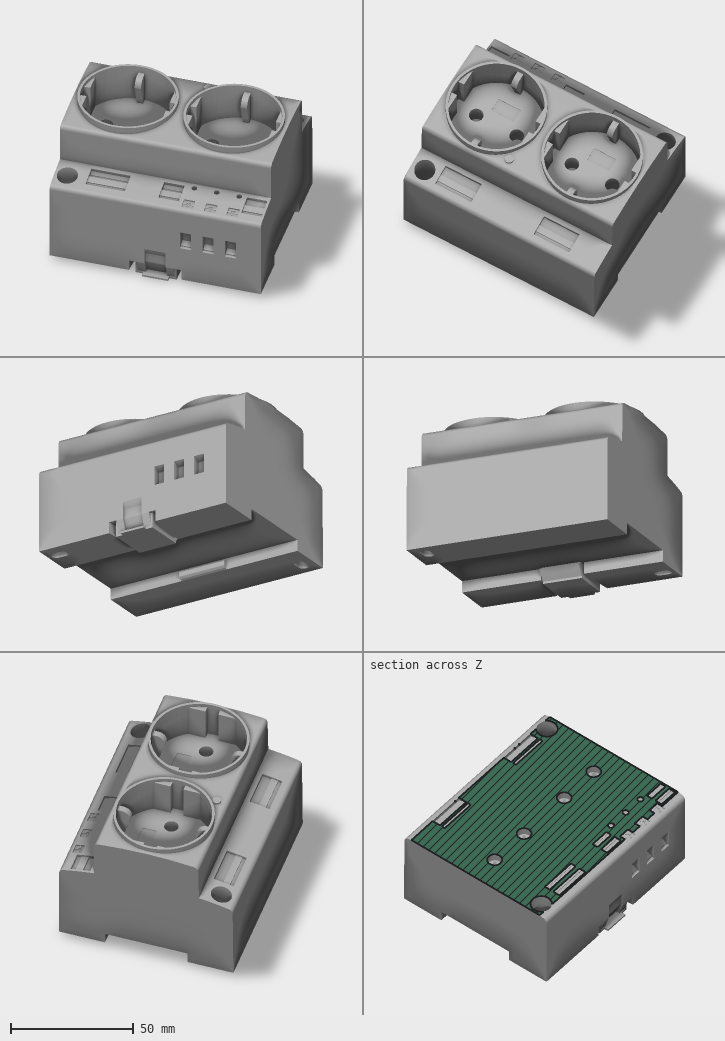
import cadquery as cq
import math


WIDTH = 90.0
DEPTH = 75.1
DRAFT_OFFSET = 0.4
SHELF_OUTER_Z = 36.1
SHELF_MIDDLE_Z = 37.7
SHELF_INNER_Z = 38.9
TOWER_FRONT_Y = 15.0
TOWER_REAR_Y = 60.2
TOWER_EDGE_Z = 56.1
TOWER_CROWN_Z = 57.4
EDGE_RADIUS = 2.1

NOTCH_FRONT_Y = 19.7
NOTCH_REAR_Y = 55.35
NOTCH_HEIGHT = 4.95
LIP_WIDTH = 21.6
LIP_REACH = 1.9
LIP_BOTTOM_Z = 0.4
LIP_TOP_Z = 4.05
LIP_CHAMFER = 0.8

CLIP_WIDTH = 17.5
CLIP_INNER_WIDTH = 15.7
CLIP_FRONT_Y = 1.4
CLIP_BOTTOM_Z = -1.7
CLIP_FLOOR_Z = -0.8
CLIP_SLOPE_DEPTH = 1.8
CLIP_HOOK_REACH = 3.6
CLIP_HOOK_Z = 3.8
CLIP_HOOK_TOP_Z = 4.1
CLIP_HOOK_NECK = 1.2
TONGUE_OVERHANG = 0.45
TONGUE_WIDTH = 11.2
CLIP_SLOT_FRONT_WIDTH = 22.4
CLIP_SLOT_REAR_WIDTH = 19.2
FINGER_WIDTH = 9.0
FINGER_TOP_Z = 12.4
FINGER_WALL_TOP_Z = 9.6
FINGER_WALL_BOTTOM_Z = 5.2
FINGER_WALL_Y = 1.1
FINGER_FLOOR_Y = 3.5

SOCKET_X = 22.6
SOCKET_Y = 37.7
RIM_RADIUS = 20.8
RIM_TOP_Z = 59.5
CUP_RADIUS = 19.7
CUP_DEPTH = 16.9
CUP_FLOOR_Z = RIM_TOP_Z - CUP_DEPTH
PIN_SPACING = 19.1
PIN_RADIUS = 3.0
PIN_DEPTH = 9.0
GUIDE_FACE_X = 16.9
GUIDE_HALF_LENGTH = 10.2
GUIDE_GAP = 5.6
GUIDE_TOP_DROP = 1.6
PLATE_LENGTH = 10.35
PLATE_WIDTH = 6.1
PLATE_Y = -7.9
PLATE_DEPTH = 0.3
CONTACT_WIDTH = 2.7
CONTACT_TOP_DROP = 3.1
CONTACT_FLAT_RADIUS = 18.0
CONTACT_NOSE_RADIUS = 14.1
CONTACT_FOOT_RADIUS = 17.1

LAMP_X = 6.6
LAMP_Y = 55.1
LAMP_RADIUS = 1.8
LAMP_TOP_Z = 57.3

FRONT_MOUNT_X = -39.5
REAR_MOUNT_X = 39.0
MOUNT_INSET = 7.2
MOUNT_RADIUS = 4.3
MOUNT_FLOOR_Z = 3.6
MOUNT_SLOT_LENGTH = 7.6
MOUNT_SLOT_WIDTH = 4.5

FRONT_STEPPED_WINDOWS = [(-22.6, 16.7), (4.4, 8.7)]
FRONT_PLAIN_WINDOW = (39.7, 8.6)
REAR_WINDOWS = [(-22.6, 16.7), (23.8, 17.1)]
FRONT_WINDOW_START = 4.5
FRONT_WINDOW_END = 13.05
FRONT_BAR_START = 6.4
FRONT_BAR_END = 9.45
FRONT_STEP_Y = 10.9
REAR_WINDOW_START = 62.4
REAR_WINDOW_END = 70.9
REAR_BAR_START = 66.2
REAR_BAR_END = 69.1
WINDOW_DEPTH = 1.3
WINDOW_INNER_DEPTH = 1.6
WINDOW_STEP_DEPTH = 1.9
WINDOW_BAR_DEPTH = 0.8

TERMINAL_X = [13.0, 22.5, 32.0]
TERMINAL_WIDTH = 4.8
TEST_HOLE_Y = 12.7
TEST_HOLE_RADIUS = 1.2
TEST_HOLE_DEPTH = 2.7
SCREW_PIT_START = 2.1
SCREW_PIT_END = 6.0
SCREW_BAR_START = 3.8
SCREW_BAR_END = 4.6
SCREW_PIT_DEPTH = 0.7
SCREW_BAR_DEPTH = 0.45
SCREW_HOLE_Y = 4.3
SCREW_HOLE_RADIUS = 1.0
SCREW_NECK_WIDTH = 1.1
SCREW_HOLE_DEPTH = 1.0
WIRE_BOTTOM_Z = 16.4
WIRE_TOP_Z = 24.7
WIRE_SILL_Y = 1.35
WIRE_SILL_STEP = 0.45
WIRE_END_Y = 3.4
WIRE_END_BOTTOM_Z = 18.0
WIRE_END_TOP_Z = 23.2

CLEARANCE = 4.5
SHELF_CLEARANCE = 0.9


def side_prism(points, width):
    """Prism with the given Y-Z outline, centred on X = 0."""
    return cq.Workplane("YZ").polyline(points).close().extrude(width / 2, both=True)


def block(x_range, y_range, z_range):
    """Axis-aligned box between the given limits."""
    sizes = [high - low for low, high in (x_range, y_range, z_range)]
    corner = (x_range[0], y_range[0], z_range[0])
    return cq.Workplane("XY").box(*sizes, centered=False).translate(corner)


def make_housing():
    tower_top_rear_y = TOWER_REAR_Y - DRAFT_OFFSET
    rear_edge_y = DEPTH - DRAFT_OFFSET
    front_mid_y = TOWER_FRONT_Y / 2
    rear_mid_y = (TOWER_REAR_Y + rear_edge_y) / 2
    crown_y = (TOWER_FRONT_Y + tower_top_rear_y) / 2
    housing = (
        cq.Workplane("YZ")
        .lineTo(0, SHELF_OUTER_Z)
        .threePointArc((front_mid_y, SHELF_MIDDLE_Z), (TOWER_FRONT_Y, SHELF_INNER_Z))
        .lineTo(TOWER_FRONT_Y, TOWER_EDGE_Z)
        .threePointArc((crown_y, TOWER_CROWN_Z), (tower_top_rear_y, TOWER_EDGE_Z))
        .lineTo(TOWER_REAR_Y, SHELF_INNER_Z)
        .threePointArc((rear_mid_y, SHELF_MIDDLE_Z), (rear_edge_y, SHELF_OUTER_Z))
        .lineTo(DEPTH, 0)
        .lineTo(NOTCH_REAR_Y, 0)
        .lineTo(NOTCH_REAR_Y, NOTCH_HEIGHT)
        .lineTo(NOTCH_FRONT_Y, NOTCH_HEIGHT)
        .lineTo(NOTCH_FRONT_Y, 0)
        .close()
        .extrude(WIDTH / 2, both=True)
    )
    rounded_edges = [
        (0, SHELF_OUTER_Z),
        (TOWER_FRONT_Y, TOWER_EDGE_Z),
        (tower_top_rear_y, TOWER_EDGE_Z),
        (rear_edge_y, SHELF_OUTER_Z),
    ]
    for y, z in rounded_edges:
        nearest_edge = cq.selectors.NearestToPointSelector((0, y, z))
        housing = housing.edges(nearest_edge).fillet(EDGE_RADIUS)
    return housing


def make_rail_lip():
    lip_y = NOTCH_REAR_Y - LIP_REACH
    return side_prism(
        [
            (NOTCH_REAR_Y, 0),
            (lip_y + LIP_CHAMFER, LIP_BOTTOM_Z),
            (lip_y, LIP_BOTTOM_Z + LIP_CHAMFER),
            (lip_y, LIP_TOP_Z - LIP_CHAMFER),
            (lip_y + LIP_CHAMFER, LIP_TOP_Z),
            (NOTCH_REAR_Y, LIP_TOP_Z),
        ],
        LIP_WIDTH,
    )


def make_clip_slot():
    """Channel for the clip, narrowing from the front face to the notch."""
    front_half = CLIP_SLOT_FRONT_WIDTH / 2
    rear_half = CLIP_SLOT_REAR_WIDTH / 2
    corners = [
        (-front_half, 0),
        (front_half, 0),
        (rear_half, NOTCH_FRONT_Y),
        (-rear_half, NOTCH_FRONT_Y),
    ]
    return (
        cq.Workplane("XY")
        .polyline(corners)
        .close()
        .extrude(NOTCH_HEIGHT)
    )


def make_clip():
    hook_y = NOTCH_FRONT_Y + CLIP_HOOK_REACH
    neck_y = NOTCH_FRONT_Y + CLIP_HOOK_NECK
    slide = side_prism(
        [
            (CLIP_FRONT_Y, CLIP_BOTTOM_Z),
            (NOTCH_FRONT_Y, CLIP_BOTTOM_Z),
            (NOTCH_FRONT_Y, CLIP_FLOOR_Z),
            (hook_y, CLIP_HOOK_Z),
            (neck_y, CLIP_HOOK_TOP_Z),
            (neck_y, NOTCH_HEIGHT),
            (CLIP_FRONT_Y, NOTCH_HEIGHT),
        ],
        CLIP_WIDTH,
    )
    sloping_front = side_prism(
        [
            (0, NOTCH_HEIGHT),
            (CLIP_SLOPE_DEPTH, CLIP_FLOOR_Z),
            (NOTCH_FRONT_Y, CLIP_FLOOR_Z),
            (NOTCH_FRONT_Y, NOTCH_HEIGHT),
        ],
        CLIP_INNER_WIDTH,
    )
    front_relief = block(
        (-CLIP_INNER_WIDTH / 2, CLIP_INNER_WIDTH / 2),
        (0, CLIP_SLOPE_DEPTH),
        (CLIP_FLOOR_Z, NOTCH_HEIGHT),
    )
    tongue = block(
        (-TONGUE_WIDTH / 2, TONGUE_WIDTH / 2),
        (-TONGUE_OVERHANG, CLIP_FRONT_Y),
        (CLIP_BOTTOM_Z, CLIP_FLOOR_Z),
    )
    return slide.cut(front_relief).union(sloping_front).union(tongue)


def make_finger_recess():
    return side_prism(
        [
            (0, FINGER_TOP_Z),
            (FINGER_WALL_Y, FINGER_WALL_TOP_Z),
            (FINGER_WALL_Y, FINGER_WALL_BOTTOM_Z),
            (FINGER_FLOOR_Y, CLIP_FLOOR_Z),
            (-CLEARANCE, CLIP_FLOOR_Z),
            (-CLEARANCE, FINGER_TOP_Z),
        ],
        FINGER_WIDTH,
    )


def make_socket_body():
    """Solid barrel of one socket, reaching from the cup floor to the rim."""
    return cq.Workplane("XY").workplane(offset=CUP_FLOOR_Z).circle(RIM_RADIUS).extrude(CUP_DEPTH)


def make_guides():
    """Four blocks beside the plug, trimmed to the round cup wall."""
    guide_top = RIM_TOP_Z - GUIDE_TOP_DROP
    guides = block(
        (-RIM_RADIUS, RIM_RADIUS),
        (-GUIDE_HALF_LENGTH, GUIDE_HALF_LENGTH),
        (CUP_FLOOR_Z, guide_top),
    )
    plug_space = block((-GUIDE_FACE_X, GUIDE_FACE_X), (-RIM_RADIUS, RIM_RADIUS), (CUP_FLOOR_Z, guide_top))
    key_space = block((-RIM_RADIUS, RIM_RADIUS), (-GUIDE_GAP / 2, GUIDE_GAP / 2), (CUP_FLOOR_Z, guide_top))
    return guides.cut(plug_space).cut(key_space).intersect(make_socket_body())


def make_contact():
    """Earth contact on the +Y side of the cup, with a rounded shoulder and a nose."""
    top_z = RIM_TOP_Z - CONTACT_TOP_DROP
    shoulder_radius = CONTACT_FLAT_RADIUS - CONTACT_NOSE_RADIUS
    wall_y = (CUP_RADIUS + RIM_RADIUS) / 2
    return (
        cq.Workplane("YZ")
        .moveTo(wall_y, CUP_FLOOR_Z)
        .lineTo(wall_y, top_z)
        .lineTo(CONTACT_FLAT_RADIUS, top_z)
        .tangentArcPoint((-shoulder_radius, -shoulder_radius))
        .lineTo(CONTACT_FOOT_RADIUS, CUP_FLOOR_Z)
        .close()
        .extrude(CONTACT_WIDTH / 2, both=True)
    )


def make_socket_cavity():
    """Everything removed from one socket: cup, pin holes and the shallow marking plate."""
    contact = make_contact()
    cup = (
        cq.Workplane("XY")
        .workplane(offset=CUP_FLOOR_Z)
        .circle(CUP_RADIUS)
        .extrude(CUP_DEPTH)
        .cut(make_guides())
        .cut(contact)
        .cut(contact.mirror("XZ"))
    )
    pins = (
        cq.Workplane("XY")
        .workplane(offset=CUP_FLOOR_Z)
        .pushPoints([(-PIN_SPACING / 2, 0), (PIN_SPACING / 2, 0)])
        .circle(PIN_RADIUS)
        .extrude(-PIN_DEPTH)
    )
    plate = (
        cq.Workplane("XY")
        .workplane(offset=CUP_FLOOR_Z)
        .center(0, PLATE_Y)
        .rect(PLATE_LENGTH, PLATE_WIDTH)
        .extrude(-PLATE_DEPTH)
    )
    return cup.union(pins).union(plate)


def make_lamp():
    return (
        cq.Workplane("XY")
        .workplane(offset=TOWER_EDGE_Z - LAMP_RADIUS)
        .center(LAMP_X, LAMP_Y)
        .circle(LAMP_RADIUS)
        .extrude(LAMP_TOP_Z - TOWER_EDGE_Z + LAMP_RADIUS)
    )


def make_mount_hole(x, y, slot_angle):
    """Deep round well ending in a slotted floor."""
    well = (
        cq.Workplane("XY")
        .workplane(offset=MOUNT_FLOOR_Z)
        .center(x, y)
        .circle(MOUNT_RADIUS)
        .extrude(SHELF_INNER_Z - MOUNT_FLOOR_Z)
    )
    slot = (
        cq.Workplane("XY")
        .center(x, y)
        .slot2D(MOUNT_SLOT_LENGTH, MOUNT_SLOT_WIDTH, slot_angle)
        .extrude(MOUNT_FLOOR_Z)
    )
    return well.union(slot)


def shelf_plane():
    """Plane lying on the front shelf; its local origin is above Y = 0."""
    rise = SHELF_INNER_Z - SHELF_OUTER_Z
    slope = math.atan2(rise, TOWER_FRONT_Y)
    middle_y = TOWER_FRONT_Y / 2
    origin_z = SHELF_MIDDLE_Z - middle_y * math.tan(slope)
    normal = (0, -math.sin(slope), math.cos(slope))
    return cq.Plane(origin=(0, 0, origin_z), xDir=(1, 0, 0), normal=normal), math.cos(slope)


SHELF_PLANE, SHELF_COSINE = shelf_plane()


def shelf_sketch(x, y, depth):
    """Workplane at a depth below the front shelf, centred over the given horizontal place."""
    return cq.Workplane(SHELF_PLANE).workplane(offset=-depth).center(x, y / SHELF_COSINE)


def front_strip(x, length, start, end, depth):
    """Rectangular recess square to the front shelf, placed by its horizontal limits."""
    sketch = shelf_sketch(x, (start + end) / 2, depth)
    return sketch.rect(length, (end - start) / SHELF_COSINE).extrude(depth + SHELF_CLEARANCE)


def front_hole(x, y, radius, depth):
    """Round blind hole square to the front shelf."""
    return shelf_sketch(x, y, depth).circle(radius).extrude(depth + SHELF_CLEARANCE)


def make_front_window(x, length, stepped):
    strips = [
        (FRONT_WINDOW_START, FRONT_BAR_START, WINDOW_DEPTH),
        (FRONT_BAR_START, FRONT_BAR_END, WINDOW_BAR_DEPTH),
        (FRONT_BAR_END, FRONT_WINDOW_END, WINDOW_INNER_DEPTH),
    ]
    if stepped:
        strips.append((FRONT_BAR_END, FRONT_STEP_Y, WINDOW_STEP_DEPTH))
    window = cq.Workplane("XY")
    for start, end, depth in strips:
        window = window.union(front_strip(x, length, start, end, depth))
    return window


def make_rear_window(x, length, housing):
    """Recess whose floors follow the rear shelf at constant depths."""
    strips = [
        (REAR_WINDOW_START, REAR_BAR_START, WINDOW_DEPTH),
        (REAR_BAR_START, REAR_BAR_END, WINDOW_BAR_DEPTH),
        (REAR_BAR_END, REAR_WINDOW_END, WINDOW_DEPTH),
    ]
    window = cq.Workplane("XY")
    for start, end, depth in strips:
        column = block(
            (x - length / 2, x + length / 2),
            (start, end),
            (SHELF_OUTER_Z - CLEARANCE, SHELF_INNER_Z),
        )
        window = window.union(column.cut(housing.translate((0, 0, -depth))))
    return window


def make_terminal(x):
    """One terminal: test hole and screw pit on the shelf, wire entry in the front face."""
    test_hole = front_hole(x, TEST_HOLE_Y, TEST_HOLE_RADIUS, TEST_HOLE_DEPTH)
    screw_hole = front_hole(x, SCREW_HOLE_Y, SCREW_HOLE_RADIUS, SCREW_HOLE_DEPTH)
    wire_entry = side_prism(
        [
            (0, WIRE_BOTTOM_Z),
            (WIRE_SILL_Y, WIRE_BOTTOM_Z),
            (WIRE_SILL_Y, WIRE_BOTTOM_Z + WIRE_SILL_STEP),
            (WIRE_END_Y, WIRE_END_BOTTOM_Z),
            (WIRE_END_Y, WIRE_END_TOP_Z),
            (0, WIRE_TOP_Z),
        ],
        TERMINAL_WIDTH,
    ).translate((x, 0, 0))
    return (
        test_hole.union(screw_hole)
        .union(front_strip(x, SCREW_NECK_WIDTH, SCREW_PIT_START, SCREW_HOLE_Y, SCREW_HOLE_DEPTH))
        .union(front_strip(x, TERMINAL_WIDTH, SCREW_PIT_START, SCREW_BAR_START, SCREW_PIT_DEPTH))
        .union(front_strip(x, TERMINAL_WIDTH, SCREW_BAR_START, SCREW_BAR_END, SCREW_BAR_DEPTH))
        .union(front_strip(x, TERMINAL_WIDTH, SCREW_BAR_END, SCREW_PIT_END, SCREW_PIT_DEPTH))
        .union(wire_entry)
    )


housing = make_housing()
result = housing.union(make_rail_lip()).cut(make_clip_slot()).union(make_clip()).cut(make_finger_recess())

socket_body = make_socket_body()
socket_cavity = make_socket_cavity()
for side in (-1, 1):
    centre = (side * SOCKET_X, SOCKET_Y, 0)
    result = result.union(socket_body.translate(centre)).cut(socket_cavity.translate(centre))

result = result.union(make_lamp())
result = result.cut(make_mount_hole(FRONT_MOUNT_X, MOUNT_INSET, 0))
result = result.cut(make_mount_hole(REAR_MOUNT_X, DEPTH - MOUNT_INSET, 90))

for x, length in FRONT_STEPPED_WINDOWS:
    result = result.cut(make_front_window(x, length, stepped=True))
result = result.cut(make_front_window(*FRONT_PLAIN_WINDOW, stepped=False))
for x, length in REAR_WINDOWS:
    result = result.cut(make_rear_window(x, length, housing))
for x in TERMINAL_X:
    result = result.cut(make_terminal(x))